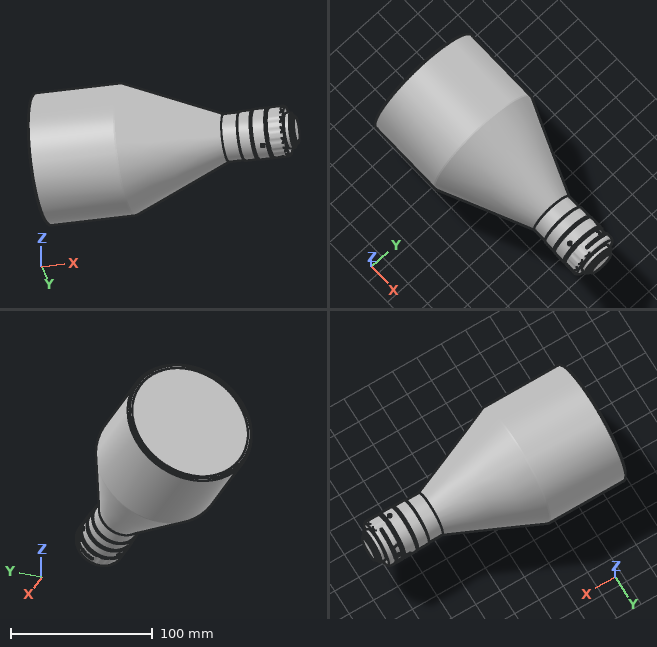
import cadquery as cq
import math

overall_length = 184
hood_radius = 94.0 / 2

hood_bevel_length = 1.0
hood_bevel_depth = 1.3
hood_length = 62.0
cone_edge_length = 1.1
cone_edge_drop = 0.2
cone_end_x = 132.6

neck_radius = 17.1
spacer_start_x = 144.4
spacer_end_x = 154.3
spacer_radius = 17.7
groove_radius = 16.5
flare_radius = 17.8
collar_start_x = 155.2
collar_end_x = 165.0
grip_start_x = 165.7
grip_radius = 18.0
edge_chamfer = 0.5
edge_break = 0.2

grip_end_x = 177.5
grip_round_radius = 2.8
grip_round_length = 2.2

flange_radius = 12.7
flange_end_x = 181.2
flange_chamfer = 0.2
boss_start_radius = 11.0
boss_radius = 20.5 / 2
boss_start_x = 181.5
boss_end_x = 182.8
tip_radius = 9.4

glass_radius = 43.8
glass_thickness = 3.7
glass_inset = 0.4

flute_count = 8
flute_pitch = 25
first_flute_angle = 18.3
flute_depth = 0.4
flute_floor_radius = 6.5
flute_floor_half_width = 1.3
flute_half_width = 2.5

smooth_side_angle = first_flute_angle + flute_pitch * (flute_count - 1) / 2 + 180
ring_groove_start_x = 171.5
ring_groove_width = 1.1
ring_groove_half_span = 83.5
recess_length = 19.1
recess_width = 4.6
recess_x = 168.7
recess_floor_radius = 17.1

screw_hole_diameter = 2.5
screw_hole_depth = 1.0
collar_screw_count = 3
collar_screw_angle = 30
collar_screw_x = 161.3

cut_clearance = 1.8


def ring(start_x, length, outer_radius, inner_radius):
    """Plain ring around the X axis."""
    return cq.Workplane("YZ", origin=(start_x, 0, 0)).circle(outer_radius).circle(inner_radius).extrude(length)


def turned_about_axis(shape, angle):
    return shape.rotate((0, 0, 0), (1, 0, 0), angle)


def barrel_blank():
    """Turned barrel, drawn as (X, radius) and revolved about X."""
    round_angle = math.asin(grip_round_length / grip_round_radius)
    round_start_x = grip_end_x - grip_round_length
    round_mid_x = round_start_x + grip_round_radius * math.sin(round_angle / 2)
    round_mid_radius = grip_radius - grip_round_radius * (1 - math.cos(round_angle / 2))
    round_end_radius = grip_radius - grip_round_radius * (1 - math.cos(round_angle))
    return (
        cq.Workplane("XY")
        .moveTo(0, 0)
        .lineTo(0, hood_radius - hood_bevel_depth)
        .lineTo(hood_bevel_length, hood_radius)
        .lineTo(hood_length, hood_radius)
        .lineTo(hood_length + cone_edge_length, hood_radius - cone_edge_drop)
        .lineTo(cone_end_x, neck_radius + edge_break)
        .lineTo(cone_end_x + edge_chamfer, neck_radius)
        .lineTo(spacer_start_x, neck_radius)
        .lineTo(spacer_start_x + edge_chamfer, spacer_radius)
        .lineTo(spacer_end_x - edge_chamfer, spacer_radius)
        .lineTo(spacer_end_x, spacer_radius - edge_chamfer)
        .lineTo(collar_start_x, flare_radius)
        .lineTo(collar_start_x, grip_radius)
        .lineTo(collar_end_x - edge_chamfer, grip_radius)
        .lineTo(collar_end_x, grip_radius - edge_chamfer)
        .lineTo(collar_end_x, groove_radius)
        .lineTo(grip_start_x, groove_radius)
        .lineTo(grip_start_x, grip_radius - edge_chamfer)
        .lineTo(grip_start_x + edge_chamfer, grip_radius)
        .lineTo(round_start_x, grip_radius)
        .threePointArc((round_mid_x, round_mid_radius), (grip_end_x, round_end_radius))
        .lineTo(grip_end_x, flange_radius)
        .lineTo(flange_end_x - flange_chamfer, flange_radius)
        .lineTo(flange_end_x, flange_radius - flange_chamfer)
        .lineTo(flange_end_x, boss_start_radius)
        .lineTo(boss_start_x, boss_radius)
        .lineTo(boss_end_x, boss_radius)
        .lineTo(boss_end_x, tip_radius)
        .lineTo(overall_length, tip_radius)
        .lineTo(overall_length, 0)
        .close()
        .revolve(360, (0, 0, 0), (1, 0, 0))
    )


def glass_seat():
    return cq.Workplane("YZ").circle(glass_radius).extrude(glass_inset + glass_thickness)


def flute_cutter():
    """Shallow hollow with softened shoulders, along the grip ring at +Z."""
    floor = grip_radius - flute_depth
    arc_center = floor + flute_floor_radius

    def floor_point(across):
        return across, arc_center - math.sqrt(flute_floor_radius**2 - across**2)

    shoulder = math.sqrt(grip_radius**2 - flute_half_width**2)
    top = grip_radius + cut_clearance
    return (
        cq.Workplane("YZ", origin=(grip_start_x, 0, 0))
        .moveTo(0, floor)
        .threePointArc(floor_point(flute_floor_half_width / 2), floor_point(flute_floor_half_width))
        .tangentArcPoint((flute_half_width, shoulder), relative=False)
        .lineTo(flute_half_width, top)
        .lineTo(0, top)
        .mirrorY()
        .extrude(grip_end_x - grip_start_x)
    )


def ring_groove():
    """Groove around the smooth side only, as an annular sector."""
    reach = grip_radius + cut_clearance
    half_span = math.radians(ring_groove_half_span)

    def polar(radius, angle):
        return -radius * math.sin(angle), radius * math.cos(angle)

    sector = (
        cq.Workplane("YZ", origin=(ring_groove_start_x, 0, 0))
        .moveTo(*polar(groove_radius, -half_span))
        .lineTo(*polar(reach, -half_span))
        .threePointArc(polar(reach, 0), polar(reach, half_span))
        .lineTo(*polar(groove_radius, half_span))
        .threePointArc(polar(groove_radius, 0), polar(groove_radius, -half_span))
        .close()
        .extrude(ring_groove_width)
    )
    return turned_about_axis(sector, smooth_side_angle)


def recess():
    """Round-ended recess on the smooth side, its floor concentric with the ring."""
    outline = (
        cq.Workplane("XY", origin=(recess_x, 0, 0))
        .slot2D(recess_length, recess_width, 90)
        .extrude(grip_radius + cut_clearance)
    )
    outside_floor = ring(grip_start_x, grip_end_x - grip_start_x, grip_radius + cut_clearance, recess_floor_radius)
    return turned_about_axis(outline.intersect(outside_floor), smooth_side_angle)


def screw_hole(x, surface_radius, angle):
    """Blind radial hole, entering from outside the given surface."""
    hole = (
        cq.Workplane("XY", origin=(x, 0, surface_radius - screw_hole_depth))
        .circle(screw_hole_diameter / 2)
        .extrude(screw_hole_depth + cut_clearance)
    )
    return turned_about_axis(hole, angle)


def make_housing():
    housing = barrel_blank().cut(glass_seat())
    for index in range(flute_count):
        housing = housing.cut(turned_about_axis(flute_cutter(), first_flute_angle + index * flute_pitch))
    housing = housing.cut(ring_groove()).cut(recess())
    housing = housing.cut(screw_hole(recess_x, recess_floor_radius, smooth_side_angle))
    for index in range(collar_screw_count):
        angle = collar_screw_angle + index * 360 / collar_screw_count
        housing = housing.cut(screw_hole(collar_screw_x, grip_radius, angle))
    return housing


def make_glass():
    """Flat front disc, set just below the rim of the hood."""
    return cq.Workplane("YZ", origin=(glass_inset, 0, 0)).circle(glass_radius).extrude(glass_thickness)


housing = make_housing()
glass = make_glass()

result = cq.Compound.makeCompound([housing.solids().val(), glass.val()])